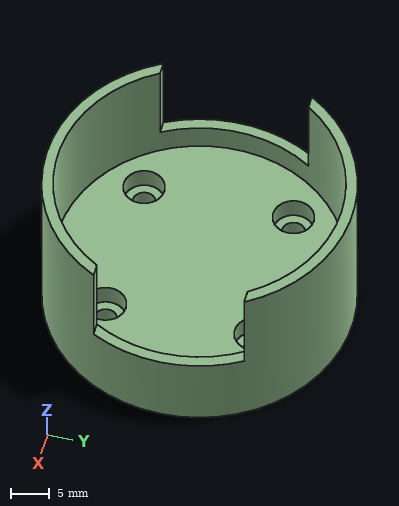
import cadquery as cq

outer_diameter = 41.0
inner_diameter = 38.0
height = 23.0
floor_thickness = 7.0

opening_bottom = 10.75
opening_front = -9.5
opening_back = 10.5

hole_spacing = 20.0
hole_diameter = 3.0
counterbore_diameter = 5.4
counterbore_depth = 3.0


def make_cup():
    body = cq.Workplane("XY").circle(outer_diameter / 2).extrude(height)
    cavity = (
        cq.Workplane("XY")
        .workplane(offset=floor_thickness)
        .circle(inner_diameter / 2)
        .extrude(height - floor_thickness)
    )
    return body.cut(cavity)


def make_side_opening():
    return (
        cq.Workplane("XY")
        .workplane(offset=opening_bottom)
        .center(0, (opening_front + opening_back) / 2)
        .rect(outer_diameter, opening_back - opening_front)
        .extrude(height - opening_bottom)
    )


def cut_screw_holes(cup):
    return (
        cup.copyWorkplane(cq.Workplane("XY", origin=(0, 0, floor_thickness)))
        .rect(hole_spacing, hole_spacing, forConstruction=True)
        .vertices()
        .cboreHole(hole_diameter, counterbore_diameter, counterbore_depth)
    )


result = cut_screw_holes(make_cup().cut(make_side_opening()))